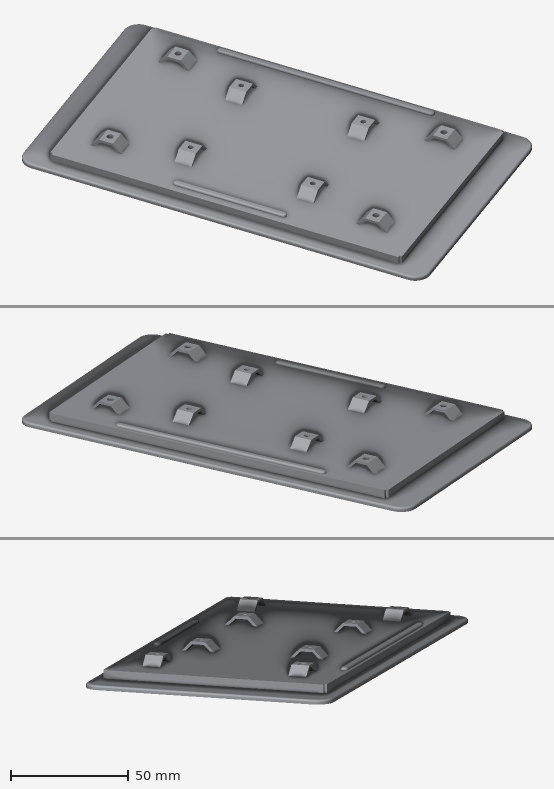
import cadquery as cq
plate_length = 192.96
plate_width = 110.76
plate_thickness = 2.0
plate_corner_radius = 7.0
plate_edge_radius = 1.0

block_gap = 0.5
block_length = 167.0
block_width = 100.4
block_height = 3.7
corner_notch = 1.2
block_bottom = plate_thickness + block_gap
block_top = block_bottom + block_height

total_height = 10.4
clip_rise = total_height - block_top
clip_thickness = 1.2
clip_flat_length = 6.4
clip_width = 8.0
clip_foot_half = clip_flat_length / 2 + clip_rise
leg_slant_offset = clip_thickness * (2 ** 0.5 - 1)
end_clip_hole_diameter = 3.0
inner_clip_hole_diameter = 2.5
end_clip_x = 63.1
end_clip_y = 32.8
inner_clip_x = 29.0
inner_clip_y = 24.4

rib_width = 3.2
rib_height = 1.2
rib_end_radius = 1.55
rib_edge_radius = 1.0
long_rib_length = 103.2
long_rib_y = 47.2
short_rib_length = 53.8
short_rib_y = -45.2


def make_plate():
    plate = cq.Workplane("XY").box(plate_length, plate_width, plate_thickness, centered=(True, True, False))
    plate = plate.edges("|Z").fillet(plate_corner_radius)
    return plate.faces(">Z").edges().fillet(plate_edge_radius)


def make_clip(hole_diameter):
    """Arched strip running along X, with its feet at Z = 0 and a hole in its flat crown."""
    outer_flat = clip_flat_length / 2
    inner_flat = outer_flat - leg_slant_offset
    inner_rise = clip_rise - clip_thickness
    inner_foot = inner_flat + inner_rise
    clip = (
        cq.Workplane("XZ")
        .moveTo(-clip_foot_half, 0)
        .lineTo(-outer_flat, clip_rise)
        .lineTo(outer_flat, clip_rise)
        .lineTo(clip_foot_half, 0)
        .lineTo(inner_foot, 0)
        .lineTo(inner_flat, inner_rise)
        .lineTo(-inner_flat, inner_rise)
        .lineTo(-inner_foot, 0)
        .close()
        .extrude(clip_width / 2, both=True)
    )
    hole = cq.Workplane("XY").circle(hole_diameter / 2).extrude(clip_rise)
    return clip.cut(hole)


def make_panel():
    """Block with notched corners and its eight clips, as one solid."""
    panel = (
        cq.Workplane("XY", origin=(0, 0, block_bottom))
        .box(block_length, block_width, block_height, centered=(True, True, False))
    )
    notches = (
        cq.Workplane("XY", origin=(0, 0, block_bottom))
        .rect(block_length, block_width, forConstruction=True)
        .vertices()
        .rect(2 * corner_notch, 2 * corner_notch)
        .extrude(block_height)
    )
    panel = panel.cut(notches)
    end_clip = make_clip(end_clip_hole_diameter)
    inner_clip = make_clip(inner_clip_hole_diameter).rotate((0, 0, 0), (0, 0, 1), 90)
    for x_side in (-1, 1):
        for y_side in (-1, 1):
            end_place = (x_side * end_clip_x, y_side * end_clip_y, block_top)
            inner_place = (x_side * inner_clip_x, y_side * inner_clip_y, block_top)
            panel = panel.union(end_clip.translate(end_place))
            panel = panel.union(inner_clip.translate(inner_place))
    return panel


def make_rib(length, y):
    rib = cq.Workplane("XY", origin=(0, y, block_top)).box(length, rib_width, rib_height, centered=(True, True, False))
    rib = rib.edges("|Z").fillet(rib_end_radius)
    return rib.faces(">Z").edges().fillet(rib_edge_radius)


plate = make_plate()
panel = make_panel()
long_rib = make_rib(long_rib_length, long_rib_y)
short_rib = make_rib(short_rib_length, short_rib_y)

result = cq.Compound.makeCompound([plate.val(), panel.val(), long_rib.val(), short_rib.val()])